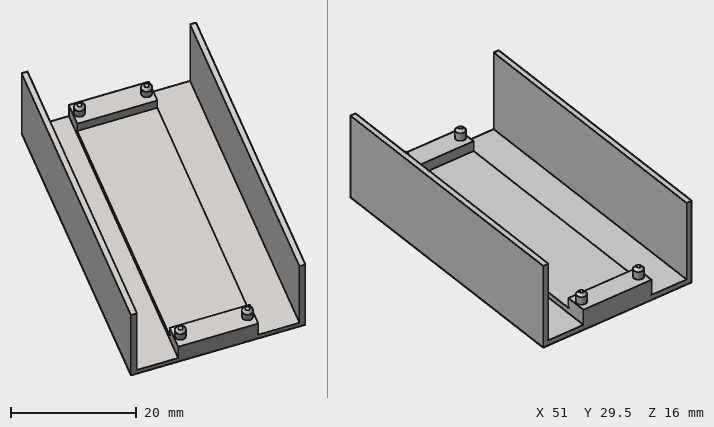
import cadquery as cq

length = 51.0
width = 29.5
height = 16.0
wall = 1.0

strip_width = 13.5
strip_top = 2 * wall
pad_length = 4.0
pad_top = 4.0

pin_diameter = 1.8
pin_height = 2.0
pin_chamfer = 0.5
pin_spacing_x = length - pad_length
pin_spacing_y = 11.3


def floor_block(size_x, size_y, top, center_x=0.0):
    """Block centred in Y that stands on the underside plane of the channel."""
    return (
        cq.Workplane("XY")
        .center(center_x, 0)
        .rect(size_x, size_y)
        .extrude(top)
    )


def make_channel():
    outside = floor_block(length, width, height)
    inside = floor_block(length, width - 2 * wall, height).translate((0, 0, wall))
    return outside.cut(inside)


def make_pins():
    return (
        cq.Workplane("XY", origin=(0, 0, pad_top))
        .rect(pin_spacing_x, pin_spacing_y, forConstruction=True)
        .vertices()
        .circle(pin_diameter / 2)
        .extrude(pin_height)
        .faces(">Z")
        .chamfer(pin_chamfer)
    )


result = make_channel().union(floor_block(length, strip_width, strip_top))
for side in (-1, 1):
    pad_center = side * (length - pad_length) / 2
    result = result.union(floor_block(pad_length, strip_width, pad_top, pad_center))
result = result.union(make_pins())